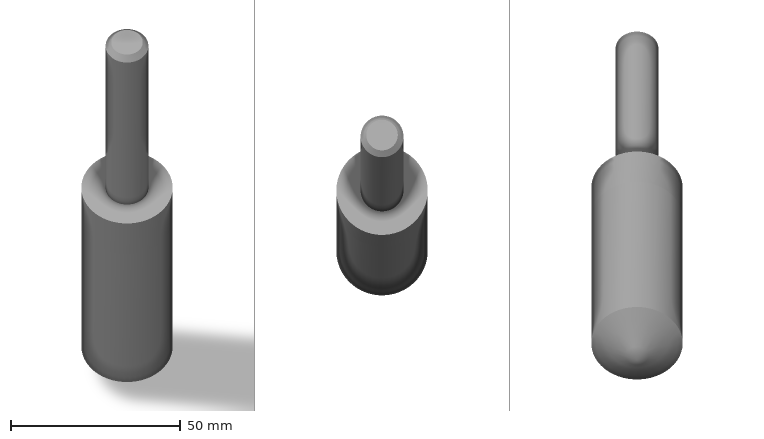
import cadquery as cq
import math

total_length = 152.4
body_diameter = 27.0
shank_diameter = 12.6
shank_length = 69.0
collar_length = 14.6
tip_angle = 118.0
chamfer_height = 1.7
chamfer_width = 1.7

body_radius = body_diameter / 2
shank_radius = shank_diameter / 2
tip_height = body_radius / math.tan(math.radians(tip_angle / 2))
collar_top = total_length - shank_length
joint_height = collar_top - collar_length


def make_pointed_cylinder():
    """Lower body: a plain cylinder ending in a conical point."""
    profile = (
        cq.Workplane("XZ")
        .moveTo(0, 0)
        .lineTo(body_radius, tip_height)
        .lineTo(body_radius, joint_height)
        .lineTo(0, joint_height)
        .close()
    )
    return profile.revolve(360, (0, 0, 0), (0, 1, 0))


def make_shank_holder():
    """Upper body: a collar seated on the cylinder, with a chamfered shank."""
    collar = cq.Workplane("XY").workplane(offset=joint_height).circle(body_radius).extrude(collar_length)
    shank = (
        cq.Workplane("XY")
        .workplane(offset=collar_top)
        .circle(shank_radius)
        .extrude(shank_length)
        .faces(">Z")
        .edges()
        .chamfer(chamfer_height, chamfer_width)
    )
    return collar.union(shank)


pointed_cylinder = make_pointed_cylinder()
shank_holder = make_shank_holder()

result = cq.Compound.makeCompound([pointed_cylinder.val(), shank_holder.val()])